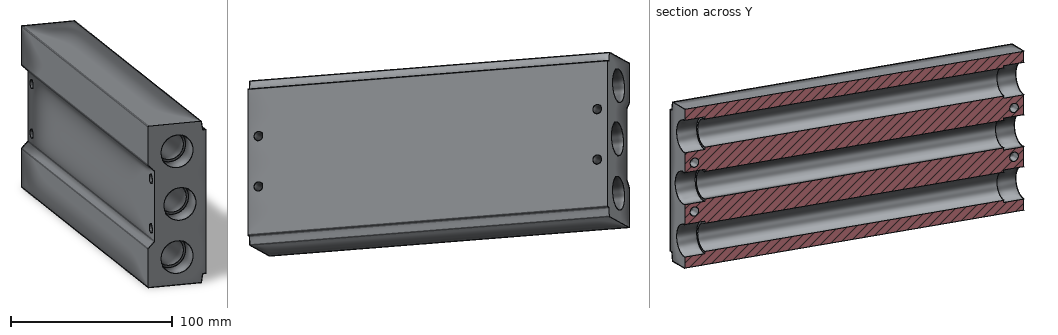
import cadquery as cq

length = 238.0
depth = 38.0
height = 104.0

channel_depth = 4.3
channel_floor_half_height = 22.5

step_height = 5.7
step_depth_inner = 2.1
step_depth_outer = 3.0

edge_radius = 0.5

bore_diameter = 18.0
counterbore_diameter = 21.0
counterbore_depth = 14.0
bore_spacing = 34.0
middle_bore_offset = 2.0

mounting_hole_diameter = 5.7
mounting_hole_end_distance = 7.0
mounting_hole_spacing = 32.0

front_y = -depth / 2
rear_y = depth / 2
top_z = height / 2


def make_body():
    """Extrude the bar section, symmetric about its mid-height, and round its edges."""
    upper_half = [
        (rear_y, top_z - step_height),
        (rear_y - step_depth_inner, top_z - step_height),
        (rear_y - step_depth_outer, top_z),
        (front_y, top_z),
        (front_y, channel_floor_half_height + channel_depth),
        (front_y + channel_depth, channel_floor_half_height),
    ]
    lower_half = [(y, -z) for y, z in reversed(upper_half)]
    left_end = cq.Workplane("YZ", origin=(-length / 2, 0, 0))
    bar = left_end.polyline(upper_half + lower_half).close().extrude(length)
    return bar.edges("|X").fillet(edge_radius)


def make_bore(y, z):
    """Return a cutter for one through bore with a counterbore at each end."""
    bore = cq.Workplane("YZ").center(y, z).circle(bore_diameter / 2).extrude(length / 2, both=True)
    for start_x in (-length / 2, length / 2 - counterbore_depth):
        end_plane = cq.Workplane("YZ", origin=(start_x, y, z))
        bore = bore.union(end_plane.circle(counterbore_diameter / 2).extrude(counterbore_depth))
    return bore


def make_mounting_holes():
    """Return cutters for the four holes running through the depth of the bar."""
    return (
        cq.Workplane("XZ")
        .rarray(length - 2 * mounting_hole_end_distance, mounting_hole_spacing, 2, 2)
        .circle(mounting_hole_diameter / 2)
        .extrude(depth, both=True)
    )


bore_centers = [(0, bore_spacing), (middle_bore_offset, 0), (0, -bore_spacing)]

result = make_body()
for bore_y, bore_z in bore_centers:
    result = result.cut(make_bore(bore_y, bore_z))
result = result.cut(make_mounting_holes())